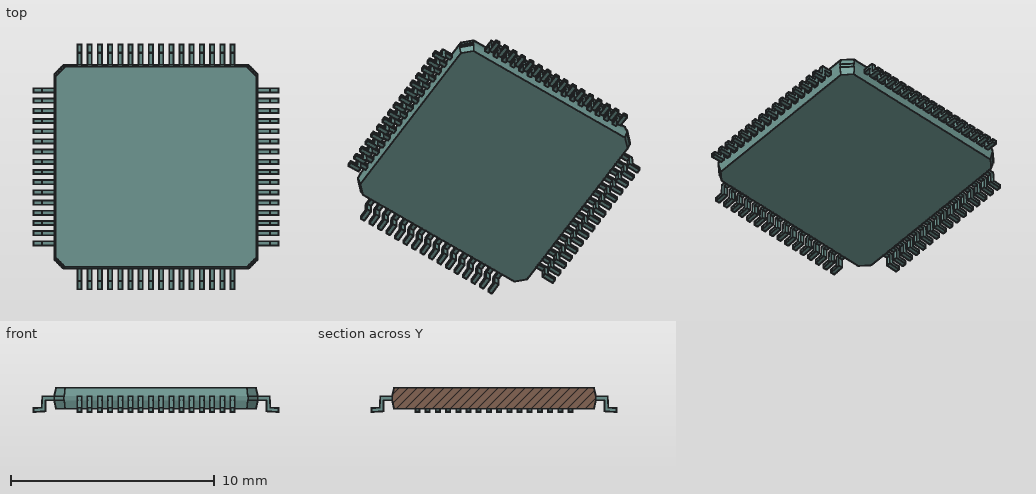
import cadquery as cq
import math

overall_span = 12.02
overall_height = 1.2

body_width = 10.0
belt_chamfer = 0.47
half_chamfer = 0.5
body_standoff = 0.16
face_inset = 0.1

leads_per_side = 16
lead_row_length = 7.5
lead_width = 0.22
lead_thickness = 0.2
foot_length = 0.4
riser_lean = 0.04
riser_thickness = 0.17
heel_rise = 0.04
lead_embedment = 0.24

lead_pitch = lead_row_length / (leads_per_side - 1)
body_height = overall_height - body_standoff
belt_bottom = body_standoff + (body_height - lead_thickness) / 2
belt_top = belt_bottom + lead_thickness


def body_half(belt_z, face_z):
    """Tapered half of the body, from the belt to the smaller outer face."""
    height = face_z - belt_z
    direction = math.copysign(1, height)
    taper_angle = math.degrees(math.atan(face_inset / abs(height)))
    belt_plane = cq.Plane(origin=(0, 0, belt_z), xDir=(1, 0, 0), normal=(0, 0, direction))
    return (
        cq.Workplane(belt_plane)
        .sketch()
        .rect(body_width, body_width)
        .vertices()
        .chamfer(half_chamfer)
        .finalize()
        .extrude(abs(height), taper=taper_angle)
    )


def make_body():
    belt = (
        cq.Workplane("XY", origin=(0, 0, belt_bottom))
        .rect(body_width, body_width)
        .extrude(lead_thickness)
        .edges("|Z")
        .chamfer(belt_chamfer)
    )
    upper_half = body_half(belt_top, overall_height)
    lower_half = body_half(belt_bottom, body_standoff)
    return belt.union(upper_half).union(lower_half)


def make_lead():
    """One lead pointing along -X, centred on Y = 0."""
    toe = -overall_span / 2
    riser_base = toe + foot_length
    riser_top = riser_base + riser_lean
    heel = riser_top + riser_thickness
    foot_top = lead_thickness + heel_rise * foot_length / (heel - toe)
    root = -body_width / 2 + lead_embedment
    profile = [
        (toe, 0),
        (heel, heel_rise),
        (heel, belt_bottom),
        (root, belt_bottom),
        (root, belt_top),
        (riser_top, belt_top),
        (riser_base, foot_top),
        (toe, lead_thickness),
    ]
    return cq.Workplane("XZ").polyline(profile).close().extrude(lead_width / 2, both=True)


def make_lead_row():
    lead = make_lead()
    row = cq.Workplane("XY")
    for index in range(leads_per_side):
        row.add(lead.translate((0, index * lead_pitch - lead_row_length / 2, 0)))
    return row.combine()


result = make_body()
lead_row = make_lead_row()
for side in range(4):
    result = result.union(lead_row.rotate((0, 0, 0), (0, 0, 1), 90 * side))